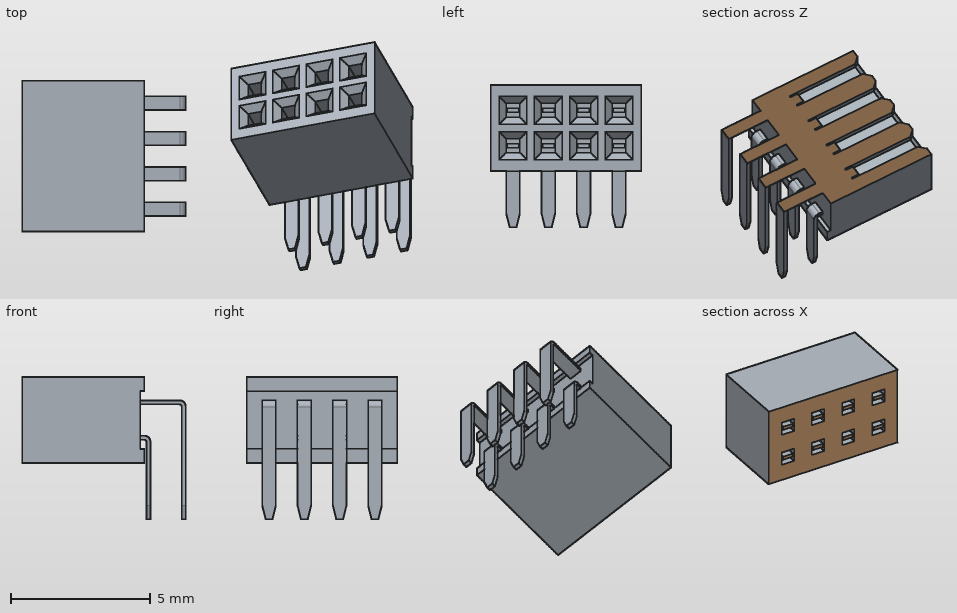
import cadquery as cq

pitch = 1.27
columns = 4
rows = 2

body_length = 4.4
body_width = 5.43
body_height = 3.1
rear_recess_depth = 0.15
rear_lip_height = 0.51

funnel_mouth = 1.0
cavity_size = 0.5
funnel_depth = 0.25
cavity_end = 3.0

contact_thickness = 0.15
contact_width = 0.5
bend_outer_radius = 0.225
tail_tip_z = -2.02
tail_taper_length = 0.5
tail_tip_width = 0.25
upper_tail_outer_x = 5.89
tongue_width = 0.42
tongue_length = 0.3

bend_inner_radius = bend_outer_radius - contact_thickness
column_positions = [(i - (columns - 1) / 2) * pitch for i in range(columns)]
row_heights = [body_height / 2 + (i - (rows - 1) / 2) * pitch for i in range(rows)]


def make_body():
    """Block with a recess running across its rear face."""
    block = cq.Workplane("XY").box(body_length, body_width, body_height, centered=(False, True, False))
    recess_height = body_height - 2 * rear_lip_height
    recess = (
        cq.Workplane("XY")
        .box(rear_recess_depth, body_width, recess_height, centered=(False, True, False))
        .translate((body_length - rear_recess_depth, 0, rear_lip_height))
    )
    return block.cut(recess)


def make_socket(y, z):
    """Void of one socket, opening at the mating face."""
    funnel = (
        cq.Workplane("YZ", origin=(0, y, z))
        .rect(funnel_mouth, funnel_mouth)
        .workplane(offset=funnel_depth)
        .rect(cavity_size, cavity_size)
        .loft(ruled=True)
    )
    cavity = cq.Workplane("YZ", origin=(funnel_depth, y, z)).rect(cavity_size, cavity_size)
    return funnel.union(cavity.extrude(cavity_end - funnel_depth))


def make_rounded_slab(y, outer_x, top_z, corner_radius):
    """Contact-wide slab from the cavity floor to outer_x, with its top rear edge rounded."""
    length = outer_x - cavity_end
    height = top_z - tail_tip_z
    return (
        cq.Workplane("XY", origin=(cavity_end, y, tail_tip_z))
        .box(length, contact_width, height, centered=(False, True, False))
        .edges("|Y and >X and >Z")
        .fillet(corner_radius)
    )


def make_tail_outline(y, outer_x, top_z):
    """Prism along X with the contact's width, tapering at the tail tip."""
    half_width = contact_width / 2
    half_tip = tail_tip_width / 2
    taper_z = tail_tip_z + tail_taper_length
    outline = [
        (-half_tip, tail_tip_z),
        (half_tip, tail_tip_z),
        (half_width, taper_z),
        (half_width, top_z),
        (-half_width, top_z),
        (-half_width, taper_z),
    ]
    return cq.Workplane("YZ", origin=(0, y, 0)).polyline(outline).close().extrude(outer_x)


def make_contact(y, row):
    """Contact running back from the cavity floor and bent down into a tapered tail."""
    z = row_heights[row]
    outer_x = upper_tail_outer_x - (rows - 1 - row) * pitch
    inner_x = outer_x - contact_thickness
    top_z = z + contact_thickness / 2
    under_z = top_z - contact_thickness

    outer_slab = make_rounded_slab(y, outer_x, top_z, bend_outer_radius)
    inner_slab = make_rounded_slab(y, inner_x, under_z, bend_inner_radius)
    strip = outer_slab.cut(inner_slab).intersect(make_tail_outline(y, outer_x, top_z))
    tongue = (
        cq.Workplane("YZ", origin=(cavity_end - tongue_length, y, z))
        .rect(tongue_width, contact_thickness)
        .extrude(tongue_length)
    )
    return strip.union(tongue)


result = make_body()
for column_y in column_positions:
    for row_z in row_heights:
        result = result.cut(make_socket(column_y, row_z))
for column_y in column_positions:
    for row_index in range(rows):
        result = result.union(make_contact(column_y, row_index))